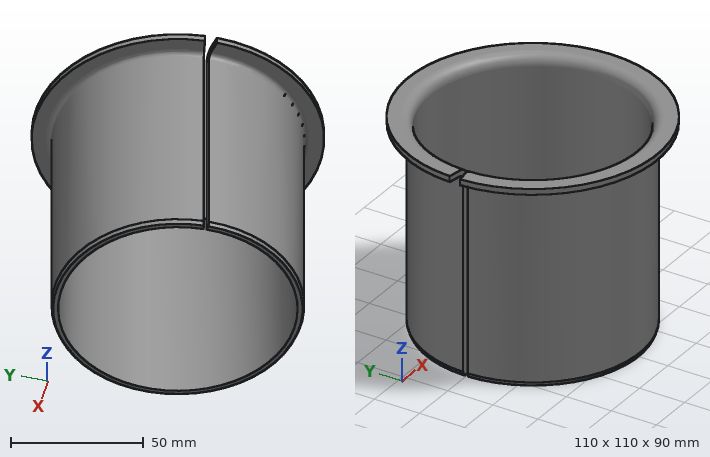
import cadquery as cq
import math

flange_radius = 55.0
height = 90.0
wall = 2.5
bore_radius = 45.0
bend_inner_radius = 2.0
chamfer_height = 1.8
chamfer_width = 0.7
gap_bore_width = 1.1
gap_rim_width = 4.6
bore_overlap = 0.5
rim_overlap = 1.1

tube_radius = bore_radius + wall
bend_outer_radius = bend_inner_radius + wall
bend_center_radius = bore_radius + bend_outer_radius
bend_center_z = height - bend_outer_radius
rim_half_width = gap_rim_width / 2
gap_slope = (gap_rim_width - gap_bore_width) / 2 / (flange_radius - bore_radius)
diagonal = math.sqrt(0.5)


def bend_midpoint(radius):
    """Point halfway round the bend between tube and flange."""
    return (bend_center_radius - radius * diagonal, bend_center_z + radius * diagonal)


def flanged_tube():
    """Revolve the constant-thickness wall, bent outward into the flange."""
    profile = (
        cq.Workplane("XZ")
        .moveTo(bore_radius, 0)
        .lineTo(tube_radius - chamfer_width, 0)
        .lineTo(tube_radius, chamfer_height)
        .lineTo(tube_radius, bend_center_z)
        .threePointArc(bend_midpoint(bend_inner_radius), (bend_center_radius, height - wall))
        .lineTo(flange_radius, height - wall)
        .lineTo(flange_radius, height)
        .lineTo(bend_center_radius, height)
        .threePointArc(bend_midpoint(bend_outer_radius), (bore_radius, bend_center_z))
        .close()
    )
    return profile.revolve(360, (0, 0), (0, 1))


def gap():
    """Full-height wedge on the -X side, widening from the bore to the flange rim."""
    inner_x = -bore_radius + bore_overlap
    inner_half_width = rim_half_width - (flange_radius - bore_radius + bore_overlap) * gap_slope
    outer_x = -flange_radius - rim_overlap
    outer_half_width = rim_half_width + rim_overlap * gap_slope
    return (
        cq.Workplane("XY")
        .polyline([
            (inner_x, inner_half_width),
            (outer_x, outer_half_width),
            (outer_x, -outer_half_width),
            (inner_x, -inner_half_width),
        ])
        .close()
        .extrude(height)
    )


result = flanged_tube().cut(gap())